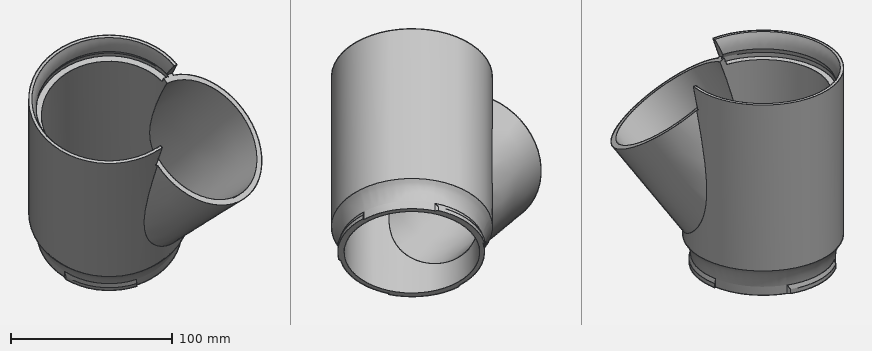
import cadquery as cq
import math

height = 135.9
body_radius = 100.0 / 2
bore_radius = 84.0 / 2

neck_radius = 45.0
collar_height = 5.9
neck_height = 19.7

lug_radius = 46.0
lug_rim_height = 2.9
lug_count = 3
lug_angle = 60.0
first_lug_angle = 30.0
lug_lead_angle = 2.4

socket_clearance = 0.1
socket_top_radius = 48.0

branch_azimuth = 30.0
branch_elevation = 55.3
branch_start_height = 21.2
branch_length = 102.0
branch_start_radius = 38.0
branch_mouth_radius = 45.0
branch_wall = 3.8
notch_clearance = 1.3
notch_length = 62.7

flare_rise = neck_height - collar_height
flare_reach = body_radius - neck_radius
flare_radius = (flare_rise**2 + flare_reach**2) / (2 * flare_reach)


def flare_height(reach):
    """Height at which the flare has moved outward by the given reach."""
    return math.sqrt(reach * (2 * flare_radius - reach))


def flare_mid(start_radius, reach, start_height):
    """Point halfway along the flare arc."""
    half_angle = math.acos(1 - reach / flare_radius) / 2
    radius = start_radius + flare_radius * (1 - math.cos(half_angle))
    return (radius, start_height + flare_radius * math.sin(half_angle))


def make_body():
    profile = (
        cq.Workplane("XZ")
        .lineTo(neck_radius, 0)
        .lineTo(neck_radius, collar_height)
        .threePointArc(
            flare_mid(neck_radius, flare_reach, collar_height),
            (body_radius, neck_height),
        )
        .lineTo(body_radius, height)
        .lineTo(0, height)
        .close()
    )
    return profile.revolve(360, (0, 0, 0), (0, 1, 0))


def make_lug():
    """Lug starting on the X axis, with a rim that slopes back to the neck and a ramped start."""
    profile = (
        cq.Workplane("XZ")
        .moveTo(bore_radius, 0)
        .lineTo(lug_radius, 0)
        .lineTo(lug_radius, lug_rim_height)
        .lineTo(neck_radius, collar_height)
        .lineTo(bore_radius, collar_height)
        .close()
    )
    lug = profile.revolve(lug_angle, (0, 0, 0), (0, 1, 0))
    lead_angle = math.radians(lug_lead_angle)
    ramp = (
        cq.Workplane("XY")
        .moveTo(neck_radius, 0)
        .lineTo(body_radius, 0)
        .lineTo(body_radius * math.cos(lead_angle), body_radius * math.sin(lead_angle))
        .lineTo(lug_radius * math.cos(lead_angle), lug_radius * math.sin(lead_angle))
        .close()
        .extrude(collar_height)
    )
    return lug.cut(ramp)


def make_socket():
    """Cavity with a lug groove under a flared mouth."""
    throat_radius = neck_radius + socket_clearance
    groove_radius = lug_radius + socket_clearance
    reach = socket_top_radius - throat_radius
    throat_height = height - flare_height(reach)
    ledge_height = throat_height - collar_height
    profile = (
        cq.Workplane("XZ")
        .moveTo(0, ledge_height)
        .lineTo(groove_radius, ledge_height)
        .lineTo(groove_radius, ledge_height + lug_rim_height)
        .lineTo(throat_radius, throat_height)
        .threePointArc(
            flare_mid(throat_radius, reach, throat_height),
            (socket_top_radius, height),
        )
        .lineTo(0, height)
        .close()
    )
    return profile.revolve(360, (0, 0, 0), (0, 1, 0))


def make_branch_cone(inset, start, length):
    """Stretch of solid cone along the branch axis, inset from the outer surface."""
    taper = (branch_mouth_radius - branch_start_radius) / branch_length
    start_radius = branch_start_radius + taper * start - inset
    azimuth = math.radians(branch_azimuth)
    elevation = math.radians(branch_elevation)
    axis = cq.Vector(
        math.cos(elevation) * math.cos(azimuth),
        math.cos(elevation) * math.sin(azimuth),
        math.sin(elevation),
    )
    cone = cq.Solid.makeCone(
        start_radius,
        start_radius + taper * length,
        length,
        pnt=cq.Vector(0, 0, branch_start_height) + axis * start,
        dir=axis,
    )
    return cq.Workplane(cone)


body = make_body()
lug = make_lug()
for index in range(lug_count):
    lug_start = first_lug_angle + index * 360 / lug_count
    body = body.union(lug.rotate((0, 0, 0), (0, 0, 1), lug_start))

body = body.cut(make_socket())
above_foot = cq.Workplane("XY").circle(height).extrude(height)
body = body.union(make_branch_cone(0, 0, branch_length).intersect(above_foot))
body = body.cut(make_branch_cone(branch_wall, 0, branch_length))
body = body.cut(make_branch_cone(-notch_clearance, branch_length, notch_length))
bore = cq.Workplane("XY").circle(bore_radius).extrude(height)
result = body.cut(bore)